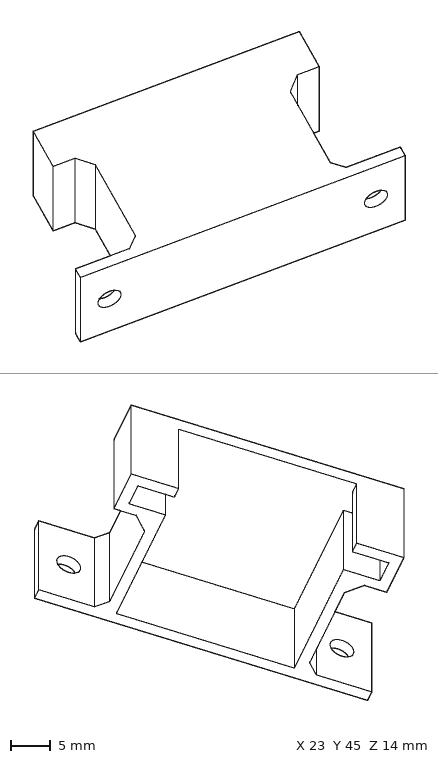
import cadquery as cq

depth = 23.0
length = 45.0
height = 14.0
wall = 1.5
roof = 2.0

leg_depth = 6.0
leg_span = 36.85
waist_width = 27.0
leg_bevel_x = 2.0
leg_bevel_y = 1.9
flange_bevel = wall
flange_front = depth - wall

cavity_width = waist_width - 2 * wall
cavity_height = height - roof
groove_thickness = 3.05
groove_width = leg_span - 2 * wall

hole_diameter = 3.2
hole_spacing = 36.9


def block(x_start, x_end, width, block_height):
    """Block resting on Z = 0 and centred on Y."""
    return (
        cq.Workplane("XY")
        .box(x_end - x_start, width, block_height, centered=(False, True, False))
        .translate((x_start, 0, 0))
    )


def outer_body():
    """Bracket outline with a bevelled waist, extruded to full height."""
    waist = waist_width / 2
    right_side = [
        (0, leg_span / 2),
        (leg_depth, leg_span / 2),
        (leg_depth, waist + leg_bevel_y),
        (leg_depth + leg_bevel_x, waist),
        (flange_front - flange_bevel, waist),
        (flange_front, waist + flange_bevel),
        (flange_front, length / 2),
        (depth, length / 2),
    ]
    left_side = [(x, -y) for x, y in reversed(right_side)]
    return cq.Workplane("XY").polyline(right_side + left_side).close().extrude(height)


def mounting_holes():
    """Pair of holes through the back flange along X."""
    return (
        cq.Workplane("YZ", origin=(flange_front, 0, height / 2))
        .pushPoints([(-hole_spacing / 2, 0), (hole_spacing / 2, 0)])
        .circle(hole_diameter / 2)
        .extrude(wall)
    )


cavity = block(0, flange_front, cavity_width, cavity_height)
groove = block(wall, wall + groove_thickness, groove_width, cavity_height)

result = outer_body().cut(cavity).cut(groove).cut(mounting_holes())